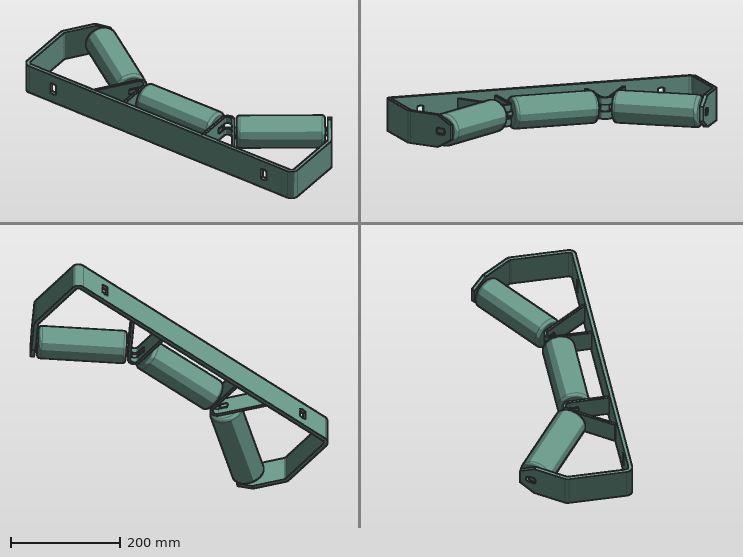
import cadquery as cq
import math


STRIP_WIDTH = 60.0
TROUGH_ANGLE = 35.0
SLOPE_NORMAL = 180 - TROUGH_ANGLE
SIN_TROUGH = math.sin(math.radians(TROUGH_ANGLE))
COS_TROUGH = math.cos(math.radians(TROUGH_ANGLE))

FRAME_LENGTH = 600.0
FRAME_DEPTH = 201.5
FRAME_THICKNESS = 7.0
FRAME_BEND_RADIUS = 13.0
SIDE_HEIGHT = 120.0
TIP_WIDTH = 27.5
TIP_CHAMFER_LENGTH = 29.5
MOUNT_HOLE_X = 234.0
MOUNT_HOLE_DIAMETER = 23.5
MOUNT_HOLE_WIDTH = 12.5

ROLLER_DIAMETER = 60.0
ROLLER_LENGTH = 162.0
ROLLER_FILLET = 6.0
SHAFT_DIAMETER = 15.5
SHAFT_FLAT_WIDTH = 9.0
FLATS_START = 84.0
MIDDLE_ROLLER_Y = 71.0
SIDE_ROLLER_X = 183.5
SIDE_ROLLER_Y = 128.5

BRACKET_WIDTH = 40.0
BRACKET_THICKNESS = 5.0
BRACKET_BEND_RADIUS = 12.5
BRACKET_OFFSET = 85.0
BRACKET_TOP = 93.5

SLOT_WIDTH = 12.5
ARM_SLOT_EXTRA = 4.0

SHAFT_LENGTH = 2 * (BRACKET_OFFSET + BRACKET_THICKNESS)


def move_along_arm(point, along, outwards=0.0):
    """Shift an XY point up the sloping -X arm and out from its outer face."""
    return (
        point[0] + along * SIN_TROUGH - outwards * COS_TROUGH,
        point[1] + along * COS_TROUGH + outwards * SIN_TROUGH,
    )


def arc_point(centre, radius, degrees):
    """Return the XY point of a circle at an angle counted from +X."""
    angle = math.radians(degrees)
    return (centre[0] + radius * math.cos(angle), centre[1] + radius * math.sin(angle))


def mirrored(body):
    """Return the mirror image of a body on the other side of X = 0."""
    return body.mirror("YZ")


def at_side_roller(body):
    """Move a body from the roller's own axes to the sloping roller on the -X side."""
    turned = body.rotate((0, 0, 0), (0, 0, 1), -TROUGH_ANGLE)
    return turned.translate((-SIDE_ROLLER_X, SIDE_ROLLER_Y, 0))


def x_cylinder(diameter, x_start, length, y=0.0):
    """Return a cylinder whose axis runs along X."""
    return cq.Workplane("YZ", origin=(x_start, y, 0)).circle(diameter / 2).extrude(length)


def slot_cutter(x_start, depth, reach):
    """Return a slot along +Y: its near end fits the shaft, its far end is round, at Y = reach."""
    straight = reach - SLOT_WIDTH / 2
    middle_x = x_start + depth / 2
    slot_band = cq.Workplane("XY", origin=(middle_x, 0, 0)).box(depth, SHAFT_DIAMETER, SLOT_WIDTH)
    near_end = x_cylinder(SHAFT_DIAMETER, x_start, depth).intersect(slot_band)
    middle = cq.Workplane("XY", origin=(middle_x, straight / 2, 0)).box(depth, straight, SLOT_WIDTH)
    far_end = x_cylinder(SLOT_WIDTH, x_start, depth, straight)
    return near_end.union(middle).union(far_end)


SHOULDER = (-FRAME_LENGTH / 2 + FRAME_BEND_RADIUS, SIDE_HEIGHT)
ARM_START = arc_point(SHOULDER, FRAME_BEND_RADIUS, SLOPE_NORMAL)
ARM_TIP = move_along_arm(ARM_START, (FRAME_DEPTH - ARM_START[1]) / COS_TROUGH)


def frame_half():
    """Return the -X half of the bent strip, before its cut-outs."""
    outer_r = FRAME_BEND_RADIUS
    inner_r = FRAME_BEND_RADIUS - FRAME_THICKNESS
    outer_x = -FRAME_LENGTH / 2
    inner_x = outer_x + FRAME_THICKNESS
    corner = (outer_x + outer_r, outer_r)
    shoulder_middle = 180 - TROUGH_ANGLE / 2
    outline = (
        cq.Workplane("XY", origin=(0, 0, -STRIP_WIDTH / 2))
        .moveTo(0, 0)
        .lineTo(corner[0], 0)
        .threePointArc(arc_point(corner, outer_r, 225), (outer_x, corner[1]))
        .lineTo(outer_x, SIDE_HEIGHT)
        .threePointArc(arc_point(SHOULDER, outer_r, shoulder_middle), ARM_START)
        .lineTo(*ARM_TIP)
        .lineTo(*move_along_arm(ARM_TIP, 0, -FRAME_THICKNESS))
        .lineTo(*arc_point(SHOULDER, inner_r, SLOPE_NORMAL))
        .threePointArc(arc_point(SHOULDER, inner_r, shoulder_middle), (inner_x, SIDE_HEIGHT))
        .lineTo(inner_x, corner[1])
        .threePointArc(arc_point(corner, inner_r, 225), (corner[0], FRAME_THICKNESS))
        .lineTo(0, FRAME_THICKNESS)
        .close()
    )
    return outline.extrude(STRIP_WIDTH)


def tip_chamfer_cutter(side):
    """Return the wedge that trims the arm tip on the +Z (side = 1) or -Z (side = -1) edge."""
    outer_face = cq.Plane(
        origin=(*ARM_TIP, 0),
        xDir=(SIN_TROUGH, COS_TROUGH, 0),
        normal=(-COS_TROUGH, SIN_TROUGH, 0),
    )
    edge = side * STRIP_WIDTH / 2
    wedge = [(0, side * TIP_WIDTH / 2), (0, edge), (-TIP_CHAMFER_LENGTH, edge)]
    return cq.Workplane(outer_face).polyline(wedge).close().extrude(-FRAME_THICKNESS)


def mount_hole_cutter():
    """Return a round hole with two flat sides through the frame base."""
    hole = cq.Workplane("XZ").circle(MOUNT_HOLE_DIAMETER / 2).extrude(-FRAME_THICKNESS)
    flat_sides = cq.Workplane("XY").box(
        MOUNT_HOLE_WIDTH, 2 * FRAME_THICKNESS, MOUNT_HOLE_DIAMETER
    )
    return hole.intersect(flat_sides).translate((-MOUNT_HOLE_X, 0, 0))


def make_frame():
    """Return the whole frame with its mounting holes, trimmed tips and arm slots."""
    half = frame_half().cut(mount_hole_cutter())
    for side in (1, -1):
        half = half.cut(tip_chamfer_cutter(side))
    slot_depth = 2 * FRAME_THICKNESS
    arm_slot = slot_cutter(
        -FLATS_START - slot_depth, slot_depth, SHAFT_DIAMETER / 2 + ARM_SLOT_EXTRA
    )
    half = half.cut(at_side_roller(arm_slot))
    return half.union(mirrored(half)).clean()


def make_bracket():
    """Return the -X bracket: an upright leg, a round bend and a sloping leg."""
    outer_r = BRACKET_BEND_RADIUS
    inner_r = BRACKET_BEND_RADIUS - BRACKET_THICKNESS
    bend = (-BRACKET_OFFSET - outer_r, BRACKET_TOP - outer_r)
    bend_middle = SLOPE_NORMAL / 2
    slope_outer = arc_point(bend, outer_r, SLOPE_NORMAL)
    slope_inner = arc_point(bend, inner_r, SLOPE_NORMAL)
    slope_length = (slope_inner[1] - FRAME_THICKNESS) / COS_TROUGH
    foot_inner = move_along_arm(slope_inner, -slope_length)
    foot_outer = move_along_arm(foot_inner, 0, BRACKET_THICKNESS)
    bracket = (
        cq.Workplane("XY", origin=(0, 0, -BRACKET_WIDTH / 2))
        .moveTo(-BRACKET_OFFSET, FRAME_THICKNESS)
        .lineTo(-BRACKET_OFFSET, bend[1])
        .threePointArc(arc_point(bend, outer_r, bend_middle), slope_outer)
        .lineTo(*foot_outer)
        .lineTo(*foot_inner)
        .lineTo(*slope_inner)
        .threePointArc(arc_point(bend, inner_r, bend_middle), (bend[0] + inner_r, bend[1]))
        .lineTo(bend[0] + inner_r, FRAME_THICKNESS)
        .close()
        .extrude(BRACKET_WIDTH)
    )
    slot_depth = 2 * BRACKET_THICKNESS
    slot_reach = SHAFT_DIAMETER + SLOT_WIDTH / 2
    upright_slot = slot_cutter(-FLATS_START - slot_depth, slot_depth, slot_reach)
    upright_slot = upright_slot.translate((0, MIDDLE_ROLLER_Y, 0))
    slope_slot = at_side_roller(slot_cutter(FLATS_START, slot_depth, slot_reach))
    bend_slot = (
        cq.Workplane("XY", origin=(*bend, -SLOT_WIDTH / 2)).circle(outer_r).extrude(SLOT_WIDTH)
    )
    return bracket.cut(upright_slot).cut(slope_slot).cut(bend_slot)


def make_roller():
    """Return a roller with its axis along X and its middle at the origin."""
    tube = x_cylinder(ROLLER_DIAMETER, -ROLLER_LENGTH / 2, ROLLER_LENGTH)
    tube = tube.edges("%CIRCLE").fillet(ROLLER_FILLET)
    round_shaft = x_cylinder(SHAFT_DIAMETER, -FLATS_START, 2 * FLATS_START)
    flatted_shaft = x_cylinder(SHAFT_DIAMETER, -SHAFT_LENGTH / 2, SHAFT_LENGTH).intersect(
        cq.Workplane("XY").box(SHAFT_LENGTH, SHAFT_DIAMETER, SHAFT_FLAT_WIDTH)
    )
    return tube.union(round_shaft).union(flatted_shaft)


frame = make_frame()
bracket = make_bracket()
brackets = [bracket, mirrored(bracket)]
side_roller = at_side_roller(make_roller())
middle_roller = make_roller().translate((0, MIDDLE_ROLLER_Y, 0))
rollers = [side_roller, middle_roller, mirrored(side_roller)]

result = cq.Compound.makeCompound([body.val() for body in [frame, *brackets, *rollers]])